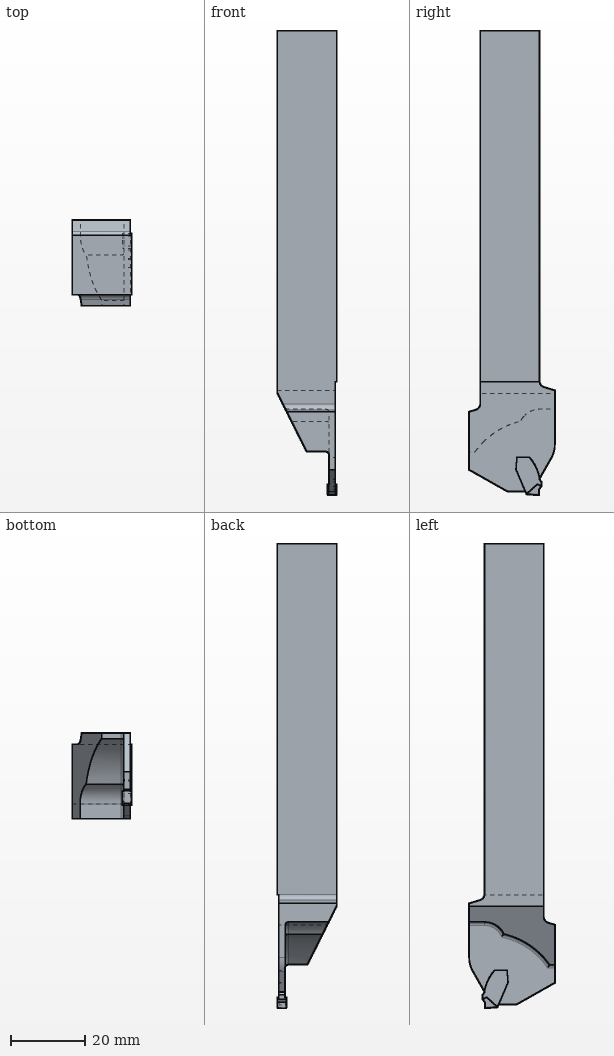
import cadquery as cq
import math

total_height = 125.0
shank_side = 16.0

head_face_x = 15.6
head_relief_top = 30.5
head_front_y = -3.0
head_back_y = 20.1
front_shoulder_z = 22.5
back_shoulder_z = 28.2
shoulder_angle = 17.0
shoulder_radius = 1.6
head_bottom_z = 1.0
bottom_front_y = 7.4
bottom_back_y = 14.0
front_corner_z = 6.9
back_corner_z = 11.8
back_corner_radius = 7.5

taper_top_z = 27.5
taper_end_x = 7.9
taper_end_z = 11.8
taper_slope = (taper_top_z - taper_end_z) / taper_end_x

blade_face_x = 13.9
blade_root_radius = 0.9
clearance_back_z = 23.2
clearance_back_arc_start = (16.0, clearance_back_z)
clearance_back_arc_middle = (13.1, 22.5)
clearance_arc_joint = (10.8, 20.0)
clearance_front_arc_middle = (4.2, 17.2)
clearance_front_arc_end = (-1.5, taper_end_z)

tip_max_x = shank_side
tip_width = 2.5
tip_min_x = tip_max_x - tip_width
tip_corner_radius = 0.4
heel = (12.5, 0.2)
cutting_edge = (15.9, 0.0)
tip_notch = (15.9, 1.6)
tip_back_low = (16.5, 2.5)
tip_back_high = (16.5, 3.6)
stem_back_low = (16.0, 4.4)
stem_back_middle = (15.0, 7.6)
stem_back_high = (13.2, 10.2)
stem_front_high = (9.9, 10.2)
stem_front_low = (9.6, 7.0)
tip_step_back = (15.4, 3.0)
tip_step_front = (12.8, 0.6)

cut_margin = 6.2


def extrude_x(profile, start_x, end_x):
    """Extrude a closed YZ profile from start_x to end_x."""
    return profile.extrude(end_x - start_x).translate((start_x, 0, 0))


def make_head():
    """Full-width head with sloping shoulders that blend into the shank."""
    rise = math.tan(math.radians(shoulder_angle))
    front_root = (0, front_shoulder_z - head_front_y * rise)
    back_root = (shank_side, back_shoulder_z + (head_back_y - shank_side) * rise)
    profile = (
        cq.Workplane("YZ")
        .moveTo(bottom_front_y, head_bottom_z)
        .lineTo(head_front_y, front_corner_z)
        .lineTo(head_front_y, front_shoulder_z)
        .lineTo(*front_root)
        .lineTo(0, total_height)
        .lineTo(shank_side, total_height)
        .lineTo(*back_root)
        .lineTo(head_back_y, back_shoulder_z)
        .lineTo(head_back_y, back_corner_z)
        .lineTo(bottom_back_y, head_bottom_z)
        .close()
    )
    body = extrude_x(profile, 0, shank_side)
    for y, z in (front_root, back_root):
        root_edge = cq.selectors.NearestToPointSelector((shank_side / 2, y, z))
        body = body.edges(root_edge).fillet(shoulder_radius)
    back_corner = cq.selectors.NearestToPointSelector((shank_side / 2, head_back_y, back_corner_z))
    return body.edges(back_corner).fillet(back_corner_radius)


def make_relief_cut():
    """Slab that sets the +X face of the head back from the shank."""
    return cq.Workplane("XY").box(
        cut_margin,
        head_back_y - head_front_y,
        head_relief_top,
        centered=False,
    ).translate((head_face_x, head_front_y, 0))


def make_taper_cut():
    """Wedge below the sloping underside."""
    wedge_end_x = taper_top_z / taper_slope
    return (
        cq.Workplane("XZ", origin=(0, head_back_y, 0))
        .polyline([(0, 0), (wedge_end_x, 0), (0, taper_top_z)])
        .close()
        .extrude(head_back_y - head_front_y)
        .intersect(cq.Workplane("XY").box(
            blade_face_x,
            head_back_y - head_front_y,
            total_height,
            centered=False,
        ).translate((0, head_front_y, 0)))
    )


def make_clearance_cut():
    """Curved clearance beside the blade, rounded where its wall meets the blade."""
    outside_front_y = head_front_y - cut_margin
    outside_back_y = head_back_y + cut_margin
    profile = (
        cq.Workplane("YZ")
        .moveTo(outside_back_y, clearance_back_z)
        .lineTo(*clearance_back_arc_start)
        .threePointArc(clearance_back_arc_middle, clearance_arc_joint)
        .threePointArc(clearance_front_arc_middle, clearance_front_arc_end)
        .lineTo(outside_front_y, taper_end_z)
        .lineTo(outside_front_y, -cut_margin)
        .lineTo(outside_back_y, -cut_margin)
        .close()
    )
    return extrude_x(profile, -cut_margin, blade_face_x).faces(">X").edges().fillet(blade_root_radius)


def make_insert():
    """Cutting insert with a stem as thick as the blade and a wider tip."""
    stem_profile = (
        cq.Workplane("YZ")
        .moveTo(*heel)
        .lineTo(*cutting_edge)
        .lineTo(*tip_notch)
        .lineTo(*tip_back_low)
        .lineTo(*tip_back_high)
        .lineTo(*stem_back_low)
        .threePointArc(stem_back_middle, stem_back_high)
        .lineTo(*stem_front_high)
        .lineTo(*stem_front_low)
        .close()
    )
    tip_points = [heel, cutting_edge, tip_notch, tip_back_low, tip_step_back, tip_step_front]
    tip_profile = cq.Workplane("YZ").polyline(tip_points).close()
    tip = extrude_x(tip_profile, tip_min_x, tip_max_x)
    bottom_edge_y = (heel[0] + cutting_edge[0]) / 2
    bottom_edge_z = (heel[1] + cutting_edge[1]) / 2
    for x in (tip_min_x, tip_max_x):
        corner = cq.selectors.NearestToPointSelector((x, bottom_edge_y, bottom_edge_z))
        tip = tip.edges(corner).fillet(tip_corner_radius)
    stem = extrude_x(stem_profile, blade_face_x, head_face_x)
    return stem.union(tip)


insert = make_insert()
holder = (
    make_head()
    .cut(make_relief_cut())
    .cut(make_taper_cut())
    .cut(make_clearance_cut())
    .cut(insert)
)

result = cq.Compound.makeCompound([holder.val(), insert.val()])